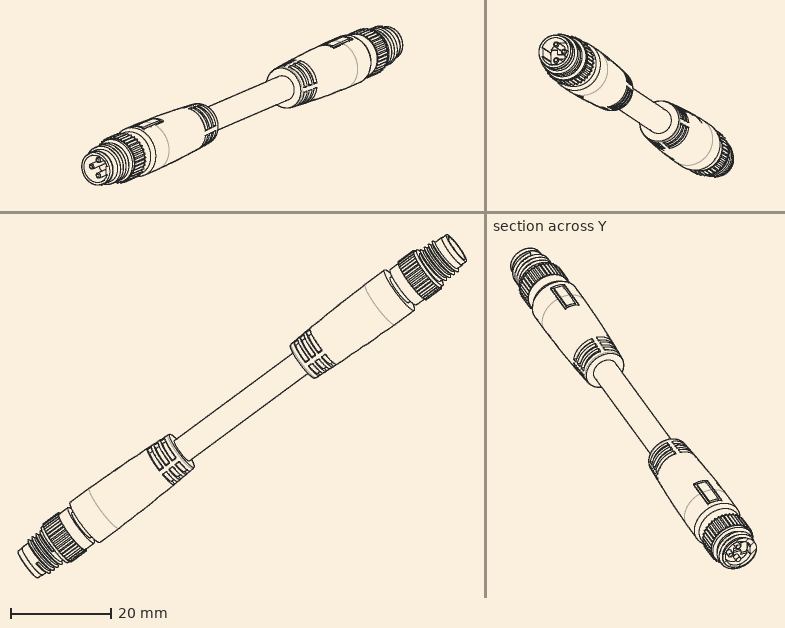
import cadquery as cq
import math

LENGTH = 107.7
HALF_LENGTH = LENGTH / 2

SLEEVE_RADIUS = 3.5
NOSE_RADIUS = 3.3
NOSE_LENGTH = 1.1

THREAD_RADIUS = 4.0
THREAD_PITCH = 1.0
THREAD_FROM = 2.3
THREAD_TURNS = 4
THREAD_ROOT_WIDTH = 0.8
THREAD_EMBED = 0.1

COLLAR_RADIUS = 4.4
COLLAR_FROM = 6.7
COLLAR_TO = 13.4
KNURL_RADIUS = 4.7
KNURL_FROM = 7.3
KNURL_TO = 11.1
KNURL_COUNT = 36

NECK_RADIUS = 3.1
GRIP_RADIUS = 5.01
GRIP_FROM = 14.3
TAPER_FROM = 19.2
TAPER_MID = 29.1
TAPER_MID_RADIUS = 4.7
GRIP_TO = 38.7
GRIP_END_RADIUS = 4.2
GRIP_END_BEVEL_LENGTH = 0.3
GRIP_END_BEVEL_DROP = 0.1

GROOVE_COUNT = 3
GROOVE_FIRST = 33.4
GROOVE_WIDTH = 1.0
GROOVE_PITCH = 1.6
GROOVE_FLOOR_RADIUS = 3.7
BRIDGE_WIDTH = 1.0

BORE_RADIUS = 2.8
BORE_DEPTH = 5.2
KEY_FLAT = 2.42
KEY_WIDTH = 1.7

PIN_RADIUS = 0.5
PIN_OFFSET = 1.6
PIN_FROM = 0.8
PIN_CHAMFER = 0.2
PIN_ANGLES = (90, 180, 270)

TEE_DEPTH = 0.5
TEE_STEM_START = -0.5
TEE_HEAD_START = 1.1
TEE_STEM_WIDTH = 1.0
TEE_HEAD_WIDTH = 2.9

LABEL_FROM = 15.4
LABEL_TO = 22.6
LABEL_WIDTH = 3.0
LABEL_GROOVE_WIDTH = 0.5
LABEL_GROOVE_FLOOR = 4.5

CABLE_RADIUS = 2.53


def cylinder(radius, start, end):
    """Round bar about Z between two distances behind the tip."""
    return cq.Workplane("XY").workplane(offset=start).circle(radius).extrude(end - start)


def plug_body():
    """Turned outline of sleeve, collar, neck and tapering grip."""
    return (
        cq.Workplane("XZ")
        .lineTo(NOSE_RADIUS, 0)
        .lineTo(NOSE_RADIUS, NOSE_LENGTH)
        .lineTo(SLEEVE_RADIUS, NOSE_LENGTH)
        .lineTo(SLEEVE_RADIUS, COLLAR_FROM)
        .lineTo(COLLAR_RADIUS, COLLAR_FROM)
        .lineTo(COLLAR_RADIUS, COLLAR_TO)
        .lineTo(NECK_RADIUS, COLLAR_TO)
        .lineTo(NECK_RADIUS, GRIP_FROM)
        .lineTo(GRIP_RADIUS, GRIP_FROM)
        .lineTo(GRIP_RADIUS, TAPER_FROM)
        .threePointArc((TAPER_MID_RADIUS, TAPER_MID), (GRIP_END_RADIUS, GRIP_TO - GRIP_END_BEVEL_LENGTH))
        .lineTo(GRIP_END_RADIUS - GRIP_END_BEVEL_DROP, GRIP_TO)
        .lineTo(0, GRIP_TO)
        .close()
        .revolve(360, (0, 0, 0), (0, 1, 0))
    )


def thread():
    """Right-handed V thread, its root sunk slightly into the sleeve."""
    root = SLEEVE_RADIUS - THREAD_EMBED
    helix = cq.Wire.makeHelix(THREAD_PITCH, THREAD_PITCH * THREAD_TURNS, root)
    ridge = (
        cq.Workplane("XZ")
        .moveTo(root, -THREAD_ROOT_WIDTH / 2)
        .lineTo(THREAD_RADIUS, 0)
        .lineTo(root, THREAD_ROOT_WIDTH / 2)
        .close()
        .sweep(cq.Workplane(obj=helix), isFrenet=True)
    )
    return ridge.rotate((0, 0, 0), (0, 0, 1), 90).translate((0, 0, THREAD_FROM))


def knurl():
    """Ring of pointed teeth standing on the collar."""
    half_step = math.pi / KNURL_COUNT
    outline = []
    for i in range(KNURL_COUNT):
        angle = (2 * i + 1) * half_step
        for radius, turn in ((KNURL_RADIUS, angle), (COLLAR_RADIUS, angle + half_step)):
            outline.append((radius * math.cos(turn), radius * math.sin(turn)))
    return (
        cq.Workplane("XY")
        .workplane(offset=KNURL_FROM)
        .polyline(outline)
        .close()
        .extrude(KNURL_TO - KNURL_FROM)
    )


def strain_relief_grooves():
    """Ring grooves round the grip tail, each split into four by the bridges."""
    tail_length = GRIP_TO - GRIP_FROM
    bridge_span = 2 * GRIP_RADIUS
    tail = cq.Workplane("XY").workplane(offset=GRIP_FROM)
    bridges = (
        tail.rect(bridge_span, BRIDGE_WIDTH)
        .extrude(tail_length)
        .union(tail.rect(BRIDGE_WIDTH, bridge_span).extrude(tail_length))
    )
    rings = cq.Workplane("XY")
    for i in range(GROOVE_COUNT):
        start = GROOVE_FIRST + i * GROOVE_PITCH
        end = start + GROOVE_WIDTH
        ring = cylinder(GRIP_RADIUS, start, end).cut(cylinder(GROOVE_FLOOR_RADIUS, start, end))
        rings = rings.add(ring)
    return rings.combine().cut(bridges)


def socket():
    """Bore in the tip, flattened by the key, with the T recess in its floor."""
    key = (
        cq.Workplane("XY")
        .center((KEY_FLAT + SLEEVE_RADIUS) / 2, 0)
        .rect(SLEEVE_RADIUS - KEY_FLAT, KEY_WIDTH)
        .extrude(BORE_DEPTH)
    )
    tee = (
        cq.Workplane("XY")
        .workplane(offset=BORE_DEPTH)
        .moveTo(TEE_STEM_START, -TEE_STEM_WIDTH / 2)
        .lineTo(TEE_HEAD_START, -TEE_STEM_WIDTH / 2)
        .lineTo(TEE_HEAD_START, -TEE_HEAD_WIDTH / 2)
        .lineTo(BORE_RADIUS, -TEE_HEAD_WIDTH / 2)
        .lineTo(BORE_RADIUS, TEE_HEAD_WIDTH / 2)
        .lineTo(TEE_HEAD_START, TEE_HEAD_WIDTH / 2)
        .lineTo(TEE_HEAD_START, TEE_STEM_WIDTH / 2)
        .lineTo(TEE_STEM_START, TEE_STEM_WIDTH / 2)
        .close()
        .extrude(TEE_DEPTH)
        .intersect(cylinder(BORE_RADIUS, BORE_DEPTH, BORE_DEPTH + TEE_DEPTH))
    )
    return cylinder(BORE_RADIUS, 0, BORE_DEPTH).cut(key).union(tee)


def pins():
    """Three contact pins rooted below the socket floor."""
    pin = cylinder(PIN_RADIUS, PIN_FROM, BORE_DEPTH + TEE_DEPTH).faces("<Z").chamfer(PIN_CHAMFER)
    group = cq.Workplane("XY")
    for angle in PIN_ANGLES:
        group = group.add(pin.translate((PIN_OFFSET, 0, 0)).rotate((0, 0, 0), (0, 0, 1), angle))
    return group.combine()


def label_frame():
    """Rectangular frame groove in the top of the grip at the -Y end."""
    length = LABEL_TO - LABEL_FROM
    return (
        cq.Workplane("XY")
        .workplane(offset=LABEL_GROOVE_FLOOR)
        .center(0, (LABEL_FROM + LABEL_TO) / 2 - HALF_LENGTH)
        .rect(LABEL_WIDTH, length)
        .rect(LABEL_WIDTH - 2 * LABEL_GROOVE_WIDTH, length - 2 * LABEL_GROOVE_WIDTH)
        .extrude(GRIP_RADIUS - LABEL_GROOVE_FLOOR)
    )


plug = (
    plug_body()
    .union(knurl())
    .union(thread())
    .cut(strain_relief_grooves())
    .cut(socket())
    .union(pins())
)

front_plug = plug.rotate((0, 0, 0), (1, 0, 0), -90).translate((0, -HALF_LENGTH, 0))
back_plug = front_plug.rotate((0, 0, 0), (1, 0, 0), 180)

cable_half = HALF_LENGTH - GRIP_TO
cable = cq.Workplane("XZ").circle(CABLE_RADIUS).extrude(cable_half, both=True)

result = (
    cable.union(front_plug)
    .union(back_plug)
    .cut(label_frame())
    .cut(label_frame().mirror("XZ"))
)